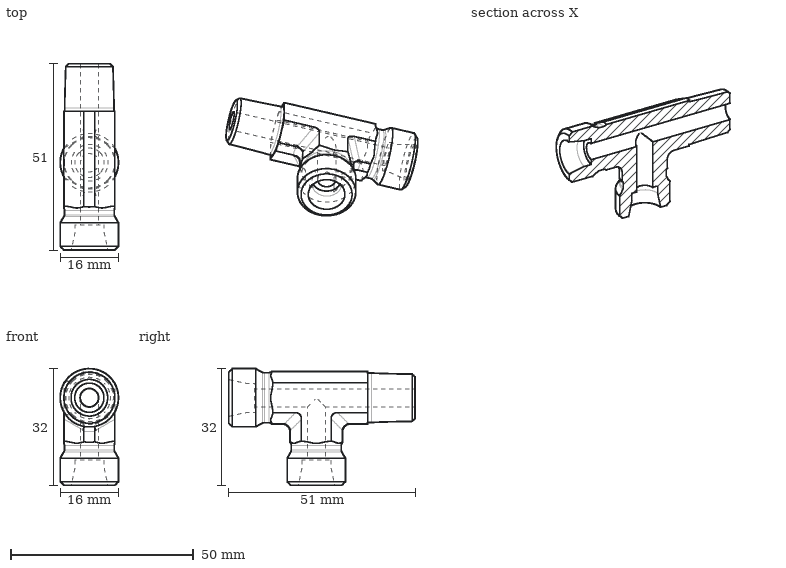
import cadquery as cq
import math


BODY_HALF_WIDTH = 7.0
BODY_HALF_HEIGHT = 7.25
CREST_HALF_WIDTH = 1.5
BODY_SLOPE = math.radians(30)
BODY_BACK = 14.1
CROTCH_RADIUS = 2.0

PORT_END = 23.95
PORT_RADIUS = 16.0 / 2
NECK_RADIUS = 13.7 / 2
NECK_START = 13.0
NECK_RELIEF_RADIUS = 1.05
COLLAR_START = 16.5
COLLAR_CONE = math.radians(30)
NECK_BLEND_RADIUS = 1.0
PORT_CHAMFER = 1.0

MOUTH_RADIUS = 10.05 / 2
TUBE_RADIUS = 8.0 / 2
SEAT_CONE = math.radians(12)
SOCKET_DEPTH = 7.0
BORE_RADIUS = 5.0 / 2

SPIGOT_END = 27.05
SPIGOT_ROOT_RADIUS = 13.6 / 2
SPIGOT_TIP_RADIUS = 13.0 / 2
SPIGOT_TAPER_START = 15.0
SPIGOT_CHAMFER = 0.8


def body_section(plane):
    """Octagon ready to extrude, with two broad side flats and two narrow crests."""
    side_half_height = BODY_HALF_HEIGHT - (BODY_HALF_WIDTH - CREST_HALF_WIDTH) * math.tan(BODY_SLOPE)
    quarter = [(BODY_HALF_WIDTH, side_half_height), (CREST_HALF_WIDTH, BODY_HALF_HEIGHT)]
    upper = quarter + [(-x, y) for x, y in reversed(quarter)]
    lower = [(-x, -y) for x, y in upper]
    return cq.Workplane(plane).polyline(upper + lower).close()


def spin(profile):
    """Revolve a (radius, distance) profile about the port axis, which points along +Z."""
    return profile.close().revolve(360, (0, 0, 0), (0, 1, 0))


def to_run(shape):
    """Turn a shape built along +Z so that it points along -Y."""
    return shape.rotate((0, 0, 0), (1, 0, 0), 90)


def to_branch(shape):
    """Turn a shape built along +Z so that it points along -Z."""
    return shape.rotate((0, 0, 0), (1, 0, 0), 180)


def is_crotch(edge):
    """True for an edge in a mitre plane, where depth equals the distance from the branch axis."""
    middle = edge.Center()
    return middle.z < 0 and math.isclose(abs(middle.y), -middle.z, abs_tol=5.1e-05)


def make_body():
    run = body_section("XZ").extrude(NECK_START + BODY_BACK).translate((0, BODY_BACK, 0))
    branch = body_section("XY").extrude(-NECK_START)
    body = run.union(branch)
    crotch_edges = [edge for edge in body.edges().vals() if is_crotch(edge)]
    return body.newObject(crotch_edges).fillet(CROTCH_RADIUS)


def make_relief():
    """Ring that rounds the body end down to the neck with a concave arc."""
    outside = BODY_HALF_WIDTH + BODY_HALF_HEIGHT
    arc_start = NECK_START - NECK_RELIEF_RADIUS
    shoulder = NECK_RADIUS + NECK_RELIEF_RADIUS
    mid_offset = NECK_RELIEF_RADIUS * math.sqrt(0.5)
    profile = (
        cq.Workplane("XZ")
        .moveTo(NECK_RADIUS, NECK_START)
        .threePointArc((shoulder - mid_offset, NECK_START - mid_offset), (shoulder, arc_start))
        .lineTo(outside, arc_start)
        .lineTo(outside, NECK_START)
    )
    return spin(profile)


def make_port():
    """Neck and threaded collar."""
    cone_start = COLLAR_START - (PORT_RADIUS - NECK_RADIUS) / math.tan(COLLAR_CONE)
    tangent = NECK_BLEND_RADIUS * math.tan(COLLAR_CONE / 2)
    cone_r = math.sin(COLLAR_CONE)
    cone_z = math.cos(COLLAR_CONE)
    profile = (
        cq.Workplane("XZ")
        .lineTo(NECK_RADIUS, 0)
        .lineTo(NECK_RADIUS, cone_start - tangent)
        .tangentArcPoint((NECK_RADIUS + tangent * cone_r, cone_start + tangent * cone_z), relative=False)
        .lineTo(PORT_RADIUS, COLLAR_START)
        .lineTo(PORT_RADIUS, PORT_END - PORT_CHAMFER)
        .lineTo(PORT_RADIUS - PORT_CHAMFER, PORT_END)
        .lineTo(0, PORT_END)
    )
    return spin(profile)


def make_port_bore():
    """Conical seat, tube socket and bore from the origin to the port mouth."""
    seat_end = PORT_END - (MOUTH_RADIUS - TUBE_RADIUS) / math.tan(SEAT_CONE)
    socket_end = PORT_END - SOCKET_DEPTH
    profile = cq.Workplane("XZ").polyline([
        (0, 0),
        (BORE_RADIUS, 0),
        (BORE_RADIUS, socket_end),
        (TUBE_RADIUS, socket_end),
        (TUBE_RADIUS, seat_end),
        (MOUTH_RADIUS, PORT_END),
        (0, PORT_END),
    ])
    return spin(profile)


def make_spigot():
    profile = cq.Workplane("XZ").polyline([
        (0, 0),
        (SPIGOT_ROOT_RADIUS, 0),
        (SPIGOT_ROOT_RADIUS, SPIGOT_TAPER_START),
        (SPIGOT_TIP_RADIUS, SPIGOT_END - SPIGOT_CHAMFER),
        (SPIGOT_TIP_RADIUS - SPIGOT_CHAMFER, SPIGOT_END),
        (0, SPIGOT_END),
    ])
    return spin(profile).rotate((0, 0, 0), (1, 0, 0), -90)


PORT_PLACES = (to_run, to_branch)

result = make_body()
for place in PORT_PLACES:
    result = result.cut(place(make_relief()))

result = result.union(make_spigot())
for place in PORT_PLACES:
    result = result.union(place(make_port()))
for place in PORT_PLACES:
    result = result.cut(place(make_port_bore()))

spigot_bore = cq.Workplane("XZ").circle(BORE_RADIUS).extrude(-SPIGOT_END)
result = result.cut(spigot_bore)